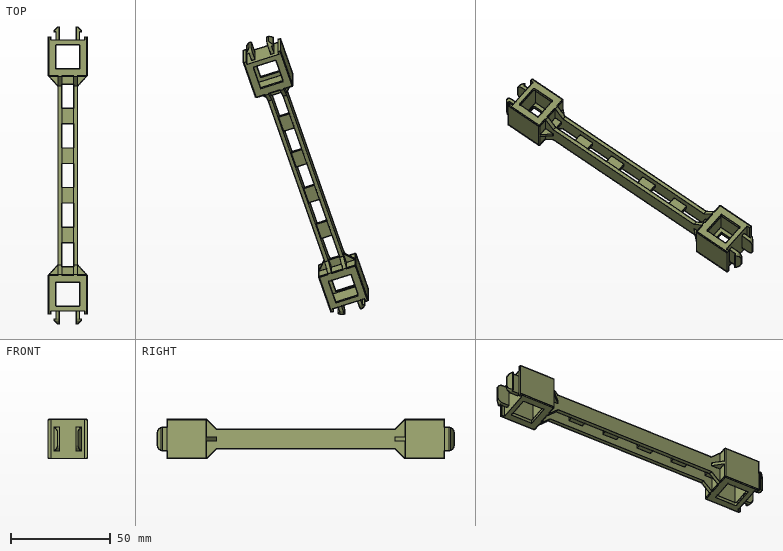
import cadquery as cq

total_length = 150.0
box_size = 20.0
box_spacing = 120.0
box_center_y = box_spacing / 2
box_outer_y = box_center_y + box_size / 2
box_inner_y = box_center_y - box_size / 2

edge_chamfer = 0.5
wall = 2.0
window_size = 12.0
window_corner_radius = 0.5
recess_depth = 1.5
recess_side_wall = 1.5
recess_width = box_size - 2 * recess_side_wall

clip_height = window_size
clip_outer_x = window_size / 2
clip_thickness = 1.8
clip_tip_thickness = 0.9
hook_overhang = 1.0
hook_flat = 0.6
hook_length = 2.5
clip_corner_radius = 3.0

arm_thickness = 2.0
arm_gap = 6.0
arm_height = 10.0
arm_outer_x = arm_gap / 2 + arm_thickness
flare_length = (box_size - arm_height) / 2
gusset_thickness = 2.0
bar_length = 8.0
bar_thickness = 2.0
bar_pitches = 5
bar_pitch = 2 * box_inner_y / bar_pitches


def block(size_x, size_y, size_z, center_y):
    """Box centred on the YZ plane and the XY plane at a given Y."""
    return cq.Workplane("XY").box(size_x, size_y, size_z).translate((0, center_y, 0))


def hollow_box():
    """Hollow box at the +Y end, with a recessed outer face and a window through top and bottom."""
    body = block(box_size, box_size, box_size, box_center_y)
    body = body.edges("|Y or <Y").chamfer(edge_chamfer)

    recess_floor_y = box_outer_y - recess_depth
    body = body.cut(block(recess_width, 2 * recess_depth, 2 * box_size, box_outer_y))

    cavity_outer_y = recess_floor_y - wall
    cavity_inner_y = box_inner_y + wall
    inside = box_size - 2 * wall
    body = body.cut(
        block(inside, cavity_outer_y - cavity_inner_y, inside, (cavity_outer_y + cavity_inner_y) / 2)
    )

    window = block(window_size, window_size, 2 * box_size, box_center_y)
    return body.cut(window.edges("|Z and >Y").fillet(window_corner_radius))


def clip():
    """Barbed clip on the +X side of the +Y box, with its tip corners rounded."""
    root_y = box_outer_y - recess_depth - wall / 2
    tip_y = total_length / 2
    inner_x = clip_outer_x - clip_thickness
    hook_x = clip_outer_x + hook_overhang
    hook_root_y = tip_y - hook_length
    hook_flat_y = hook_root_y + hook_flat
    barb = (
        cq.Workplane("XY")
        .workplane(offset=-clip_height / 2)
        .moveTo(inner_x, root_y)
        .lineTo(clip_outer_x, root_y)
        .lineTo(clip_outer_x, hook_root_y)
        .lineTo(hook_x, hook_root_y)
        .lineTo(hook_x, hook_flat_y)
        .lineTo(inner_x + clip_tip_thickness, tip_y)
        .lineTo(inner_x, tip_y)
        .close()
        .extrude(clip_height)
    )
    envelope = block(2 * box_size, tip_y - root_y, clip_height, (tip_y + root_y) / 2)
    return barb.intersect(envelope.edges("|X and >Y").fillet(clip_corner_radius))


def arms():
    """Two parallel arms whose top and bottom edges flare out to the full box height."""
    end_y = box_inner_y + wall / 2
    flare_y = box_inner_y - flare_length
    low = arm_height / 2
    high = box_size / 2
    profile = [
        (-end_y, high), (-box_inner_y, high), (-flare_y, low),
        (flare_y, low), (box_inner_y, high), (end_y, high),
        (end_y, -high), (box_inner_y, -high), (flare_y, -low),
        (-flare_y, -low), (-box_inner_y, -high), (-end_y, -high),
    ]
    arm = cq.Workplane("YZ").workplane(offset=arm_gap / 2).polyline(profile).close().extrude(arm_thickness)
    return arm.union(arm.mirror("YZ"))


def gusset():
    """Flat triangular gusset between the +X arm and the +Y box."""
    root_x = arm_outer_x - arm_thickness / 2
    end_y = box_inner_y + wall / 2
    wide_x = box_size / 2 - edge_chamfer
    flare_y = box_inner_y - flare_length
    outline = [
        (root_x, end_y), (wide_x, end_y), (wide_x, box_inner_y),
        (arm_outer_x, flare_y), (root_x, flare_y),
    ]
    return cq.Workplane("XY").polyline(outline).close().extrude(gusset_thickness / 2, both=True)


def cross_bars():
    """Evenly spaced bars between the arms; the end ones run half into the box walls."""
    bar_width = arm_gap + arm_thickness
    limits = block(box_size, 2 * box_inner_y + wall, box_size, 0)
    bars = cq.Workplane("XY")
    for index in range(bar_pitches + 1):
        bars = bars.union(block(bar_width, bar_length, bar_thickness, index * bar_pitch - box_inner_y))
    return bars.intersect(limits)


end = hollow_box()
for feature in (clip(), gusset()):
    end = end.union(feature).union(feature.mirror("YZ"))

result = arms().union(cross_bars()).union(end).union(end.mirror("XZ"))